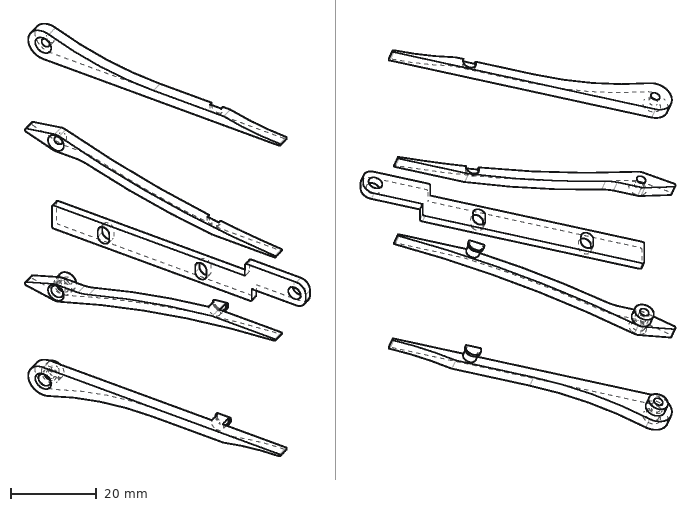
import cadquery as cq
import math


arm_thickness = 3.0
screw_hole_d = 2.2
countersink_d = 4.3
boss_d = 4.8
boss_back_y = 5.4
seat_d = 3.2
seat_y = arm_thickness
tip_corner_r = 0.2

stud_d = 3.2
stud_head_d = 3.9
stud_head_thickness = 0.6
stud_back_y = 6.0
stud_drop = 0.6
socket_d = stud_d
socket_depth = 0.8

outer_edge_z = 45.8
outer_head_r = 4.1
outer_waist = 2.7
outer_neck_r = 79.9
outer_taper_x = 49.0
outer_taper_sag = 0.4
outer_tip_x = 64.5
outer_tip_width = 0.6
outer_stud_x = 45.6
outer_pivot = (0, outer_edge_z + outer_head_r)
outer_waist_z = outer_edge_z + outer_waist

inner_pivot = (3.5, 22.2)
inner_head_r = 2.5
beak_r = 0.5
beak_centre = (-4.4, 22.8)
back_lean = math.radians(19)
flat_end_x = 9.4
belly_start = (12.3, 19.2)
belly_mid = (27.0, 15.3)
inner_edge_z = 12.1
inner_edge_start_x = 45.9
inner_tip_x = 63.2
inner_tip_width = 0.5
inner_stud_x = 44.8
inner_back_z_at_stud = 14.8

bar_thickness = 2.0
bar_width = 6.9
bar_corner_r = 0.5
bar_left_x = 2.4
bar_right_x = 56.8
bar_bottom_z = -3.5
bar_top_z = bar_bottom_z + bar_width
tab_left_x = 54.9
tab_right_x = 71.4
tab_bottom_z = 0.2
tab_top_z = tab_bottom_z + bar_width
tab_end_r = 2.6
tab_hole_d = 3.3
tab_hole_x = 68.4
slot_width = 3.0
slot_length = 4.8
slot_xs = (16.4, 42.9)


def plane_at(y):
    """Workplane parallel to the front face at depth y; negative extrusions go toward +Y."""
    return cq.Workplane("XZ", origin=(0, y, 0))


def disc(centre, diameter, start_y, end_y):
    return plane_at(start_y).center(*centre).circle(diameter / 2).extrude(start_y - end_y)


def countersink(centre, end_d):
    """90 degree cone narrowing from the front face to end_d."""
    depth = (countersink_d - end_d) / 2
    inward = cq.Vector(0, 1, 0)
    base = cq.Vector(centre[0], 0, centre[1])
    return cq.Workplane(cq.Solid.makeCone(countersink_d / 2, end_d / 2, depth, base, inward))


def on_circle(centre, radius, angle_from_top):
    """Point on a circle, the angle measured clockwise from straight up."""
    return (
        centre[0] + radius * math.sin(angle_from_top),
        centre[1] + radius * math.cos(angle_from_top),
    )


def outer_blank(thickness):
    """Upper outer arm: round head, concave neck, parallel stretch and tapered tip."""
    pivot_z = outer_pivot[1]
    neck_z = outer_waist_z + outer_neck_r
    neck_x = math.sqrt((outer_neck_r + outer_head_r) ** 2 - (neck_z - pivot_z) ** 2)
    neck_lean = math.atan2(neck_x, neck_z - pivot_z)
    neck_mid = on_circle((neck_x, neck_z), outer_neck_r, math.pi + neck_lean / 2)
    tip_z = outer_edge_z + outer_tip_width
    taper_mid = ((outer_taper_x + outer_tip_x) / 2, (outer_waist_z + tip_z) / 2 - outer_taper_sag)
    blank = (
        plane_at(0)
        .moveTo(0, outer_edge_z)
        .threePointArc((-outer_head_r, pivot_z), on_circle(outer_pivot, outer_head_r, neck_lean))
        .threePointArc(neck_mid, (neck_x, outer_waist_z))
        .lineTo(outer_taper_x, outer_waist_z)
        .threePointArc(taper_mid, (outer_tip_x, tip_z))
        .lineTo(outer_tip_x, outer_edge_z)
        .close()
        .extrude(-thickness)
    )
    return blank.edges("|Y and >X").fillet(tip_corner_r)


def inner_blank(thickness):
    """Upper inner arm: beak tangent to a round head, concave back and curved belly."""
    reach = math.dist(beak_centre, inner_pivot)
    flare = math.asin((inner_head_r - beak_r) / reach)
    tilt = math.asin((beak_centre[1] - inner_pivot[1]) / reach)
    upper_angle = tilt - flare
    lower_angle = math.pi + tilt + flare
    tip_z = inner_edge_z + inner_tip_width
    blank = (
        plane_at(0)
        .moveTo(*on_circle(beak_centre, beak_r, lower_angle))
        .threePointArc(
            (beak_centre[0] - beak_r, beak_centre[1]),
            on_circle(beak_centre, beak_r, upper_angle),
        )
        .lineTo(*on_circle(inner_pivot, inner_head_r, upper_angle))
        .threePointArc(
            on_circle(inner_pivot, inner_head_r, (upper_angle + back_lean) / 2),
            on_circle(inner_pivot, inner_head_r, back_lean),
        )
        .tangentArcPoint((inner_tip_x, tip_z), relative=False)
        .lineTo(inner_tip_x, inner_edge_z)
        .lineTo(inner_edge_start_x, inner_edge_z)
        .threePointArc(belly_mid, belly_start)
        .tangentArcPoint((flat_end_x, inner_pivot[1] - inner_head_r), relative=False)
        .lineTo(inner_pivot[0], inner_pivot[1] - inner_head_r)
        .threePointArc(
            on_circle(inner_pivot, inner_head_r, (math.pi + lower_angle) / 2),
            on_circle(inner_pivot, inner_head_r, lower_angle),
        )
        .close()
        .extrude(-thickness)
    )
    return blank.edges("|Y and >X").fillet(tip_corner_r)


def upper_arm(blank, pivot, socket_axis):
    """Arm with a countersunk screw hole and an open snap socket in its back face."""
    arm = blank(arm_thickness)
    arm = arm.cut(countersink(pivot, screw_hole_d))
    arm = arm.cut(disc(pivot, screw_hole_d, 0, arm_thickness))
    return arm.cut(disc(socket_axis, socket_d, arm_thickness - socket_depth, arm_thickness))


def lower_arm(blank, upper_pivot, stud_axis):
    """Mirrored arm with a bored pivot boss and a snap stud on its back face."""
    pivot = (upper_pivot[0], -upper_pivot[1])
    arm = blank(arm_thickness).mirror("XY")

    stud = disc(stud_axis, stud_d, arm_thickness, stud_back_y)
    stud_head = disc(stud_axis, stud_head_d, stud_back_y - stud_head_thickness, stud_back_y)
    arm_prism = blank(stud_back_y).mirror("XY")
    arm = arm.union(stud.union(stud_head).intersect(arm_prism))

    arm = arm.union(disc(pivot, boss_d, arm_thickness, boss_back_y))
    arm = arm.cut(countersink(pivot, seat_d))
    arm = arm.cut(disc(pivot, seat_d, 0, seat_y))
    return arm.cut(disc(pivot, screw_hole_d, 0, boss_back_y))


def mounting_bar():
    """Slotted bar with a raised end tab."""
    body = (
        plane_at(0)
        .moveTo(bar_left_x, bar_bottom_z)
        .lineTo(bar_right_x, bar_bottom_z)
        .lineTo(bar_right_x, tab_bottom_z)
        .lineTo(tab_right_x, tab_bottom_z)
        .lineTo(tab_right_x, tab_top_z)
        .lineTo(tab_left_x, tab_top_z)
        .lineTo(tab_left_x, bar_top_z)
        .lineTo(bar_left_x, bar_top_z)
        .close()
        .extrude(-bar_thickness)
    )
    body = body.edges("|Y and >X").fillet(tab_end_r)
    body = body.edges("|Y and <X").fillet(bar_corner_r)
    for corner in ((tab_left_x, tab_top_z), (bar_right_x, bar_bottom_z)):
        near_corner = cq.selectors.NearestToPointSelector((corner[0], bar_thickness / 2, corner[1]))
        body = body.edges("|Y").edges(near_corner).fillet(bar_corner_r)

    slot_z = (bar_bottom_z + bar_top_z) / 2
    for slot_x in slot_xs:
        slot = plane_at(0).center(slot_x, slot_z).slot2D(slot_length, slot_width, 90)
        body = body.cut(slot.extrude(-bar_thickness))
    tab_hole_centre = (tab_hole_x, (tab_bottom_z + tab_top_z) / 2)
    return body.cut(disc(tab_hole_centre, tab_hole_d, 0, bar_thickness))


outer_upper = upper_arm(outer_blank, outer_pivot, (outer_stud_x, outer_waist_z - stud_drop))
inner_upper = upper_arm(inner_blank, inner_pivot, (inner_stud_x, inner_back_z_at_stud - stud_drop))
outer_lower = lower_arm(outer_blank, outer_pivot, (outer_stud_x, -outer_edge_z - stud_drop))
inner_lower = lower_arm(inner_blank, inner_pivot, (inner_stud_x, -inner_edge_z - stud_drop))
bar = mounting_bar()

result = cq.Compound.makeCompound(
    [outer_upper.val(), inner_upper.val(), outer_lower.val(), inner_lower.val(), bar.val()]
)